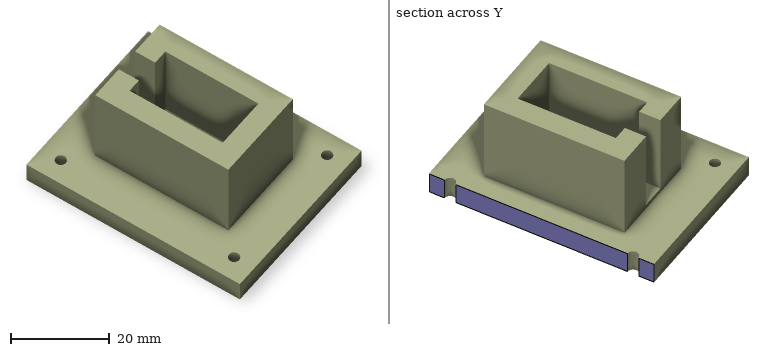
import cadquery as cq

plate_length = 53.1
plate_width = 42.4
plate_thickness = 5.0
hole_diameter = 2.5
hole_inset = 5.0

total_height = 24.7
housing_margin = 10.0
housing_length = plate_length - 2 * housing_margin
housing_width = plate_width - 2 * housing_margin
housing_height = total_height - plate_thickness

wall = 5.0
floor_thickness = 1.0
slot_width = 5.7
slot_offset_y = -0.15
pocket_length = housing_length - 2 * wall
pocket_width = housing_width - 2 * wall
pocket_depth = housing_height - floor_thickness
floor_z = plate_thickness + floor_thickness


def block(length, width, height, center_x, center_y, bottom_z):
    """Box centred at (center_x, center_y) and standing on bottom_z."""
    return (
        cq.Workplane("XY")
        .box(length, width, height, centered=(True, True, False))
        .translate((center_x, center_y, bottom_z))
    )


def make_plate():
    """Plate with a through hole near each corner."""
    return (
        block(plate_length, plate_width, plate_thickness, 0, 0, 0)
        .faces(">Z")
        .workplane()
        .rect(plate_length - 2 * hole_inset, plate_width - 2 * hole_inset, forConstruction=True)
        .vertices()
        .hole(hole_diameter)
    )


def make_housing():
    """Rectangular housing with its pocket and side slot cut out."""
    body = block(housing_length, housing_width, housing_height, 0, 0, plate_thickness)
    pocket = block(pocket_length, pocket_width, pocket_depth, 0, 0, floor_z)
    slot_center_x = -(housing_length - wall) / 2
    slot = block(wall, slot_width, pocket_depth, slot_center_x, slot_offset_y, floor_z)
    return body.cut(pocket).cut(slot)


result = make_plate().union(make_housing())